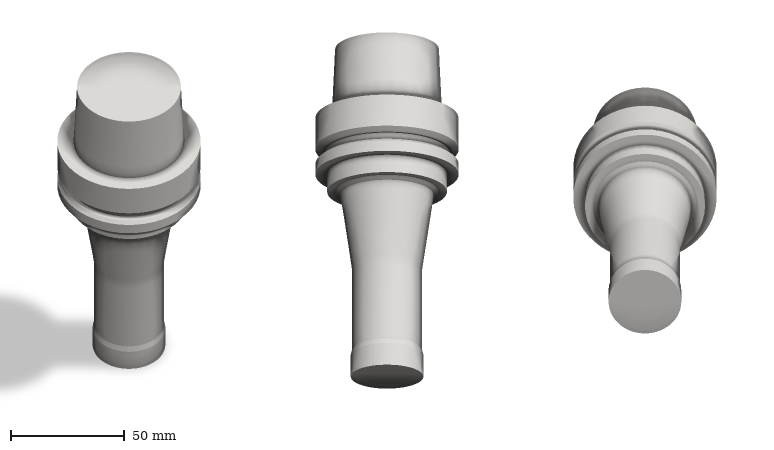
import cadquery as cq
import math

TOTAL_HEIGHT = 152.0
TIP_TOP = 10.0
STEM_BOTTOM = 12.8
STEM_TOP = 47.0
NECK_TOP = 84.4
COLLAR_BOTTOM = 85.9
FLANGE_BOTTOM = 94.0
LOWER_RIM_TOP = 98.8
GROOVE_BOTTOM = 100.2
GROOVE_TOP = 103.8
UPPER_RIM_BOTTOM = 105.6
FLANGE_TOP = 120.1

TIP_RADIUS = 31.9 / 2
STEM_RADIUS = 30.5 / 2
NECK_TOP_RADIUS = 20.5
NECK_FLARE_RADIUS = 22.6
COLLAR_RADIUS = 52.6 / 2
FLANGE_RADIUS = 63.0 / 2
GROOVE_RADIUS = 55.0 / 2
LOWER_LIP_RADIUS = 29.8
UPPER_LIP_RADIUS = 28.7
SHANK_BASE_RADIUS = 24.3
SHANK_TOP_RADIUS = 22.8

BLEND_HEIGHT = 4.3
NECK_ANGLE = math.atan(
    (NECK_TOP_RADIUS - STEM_RADIUS) / (NECK_TOP - STEM_TOP - BLEND_HEIGHT / 2)
)
BLEND_RADIUS = BLEND_HEIGHT / math.sin(NECK_ANGLE)


def blend_point(angle):
    """Return the (radius, height) where the blend leans outward by the angle."""
    return (
        STEM_RADIUS + BLEND_RADIUS * (1 - math.cos(angle)),
        STEM_TOP + BLEND_RADIUS * math.sin(angle),
    )


profile = (
    cq.Workplane("XZ")
    .moveTo(0, 0)
    .lineTo(TIP_RADIUS, 0)
    .lineTo(TIP_RADIUS, TIP_TOP)
    .lineTo(STEM_RADIUS, STEM_BOTTOM)
    .lineTo(STEM_RADIUS, STEM_TOP)
    .threePointArc(blend_point(NECK_ANGLE / 2), blend_point(NECK_ANGLE))
    .lineTo(NECK_TOP_RADIUS, NECK_TOP)
    .lineTo(NECK_FLARE_RADIUS, COLLAR_BOTTOM)
    .lineTo(COLLAR_RADIUS, COLLAR_BOTTOM)
    .lineTo(COLLAR_RADIUS, FLANGE_BOTTOM)
    .lineTo(FLANGE_RADIUS, FLANGE_BOTTOM)
    .lineTo(FLANGE_RADIUS, LOWER_RIM_TOP)
    .lineTo(LOWER_LIP_RADIUS, GROOVE_BOTTOM)
    .lineTo(GROOVE_RADIUS, GROOVE_BOTTOM)
    .lineTo(GROOVE_RADIUS, GROOVE_TOP)
    .lineTo(UPPER_LIP_RADIUS, GROOVE_TOP)
    .lineTo(FLANGE_RADIUS, UPPER_RIM_BOTTOM)
    .lineTo(FLANGE_RADIUS, FLANGE_TOP)
    .lineTo(SHANK_BASE_RADIUS, FLANGE_TOP)
    .lineTo(SHANK_TOP_RADIUS, TOTAL_HEIGHT)
    .lineTo(0, TOTAL_HEIGHT)
    .close()
)

result = profile.revolve(360, (0, 0, 0), (0, 1, 0))